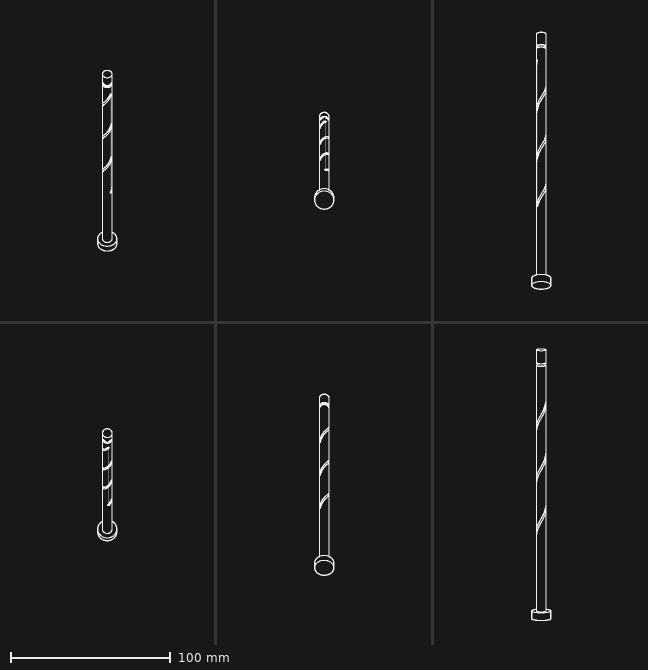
import cadquery as cq

total_height = 172.0
head_diameter = 12.0
head_height = 5.0
shaft_radius = head_diameter / 4

tip_length = 8.5
ring_width = 1.5
ring_depth = 0.5

spiral_turns = 3
spiral_pitch = 33.4
spiral_bottom = 53.7
spiral_section_radius = 0.6


def make_pin():
    head = cq.Workplane("XY").circle(head_diameter / 2).extrude(head_height)
    shaft = cq.Workplane("XY").circle(shaft_radius).extrude(total_height)
    return head.union(shaft)


def make_ring_cutter():
    ring_bottom = total_height - tip_length - ring_width
    return (
        cq.Workplane("XY", origin=(0, 0, ring_bottom))
        .circle(head_diameter / 2)
        .circle(shaft_radius - ring_depth)
        .extrude(ring_width)
    )


def make_spiral_cutter():
    """Sweep a circle, centred on the shaft surface, along the spiral."""
    helix = cq.Wire.makeHelix(spiral_pitch, spiral_turns * spiral_pitch, shaft_radius)
    path = cq.Workplane("XY").add(helix.translate(cq.Vector(0, 0, spiral_bottom)))
    start = path.val().positionAt(0)
    direction = path.val().tangentAt(0)
    section_plane = cq.Plane(origin=start, xDir=(1, 0, 0), normal=direction)
    return cq.Workplane(section_plane).circle(spiral_section_radius).sweep(path, isFrenet=True)


result = make_pin().cut(make_ring_cutter()).cut(make_spiral_cutter())